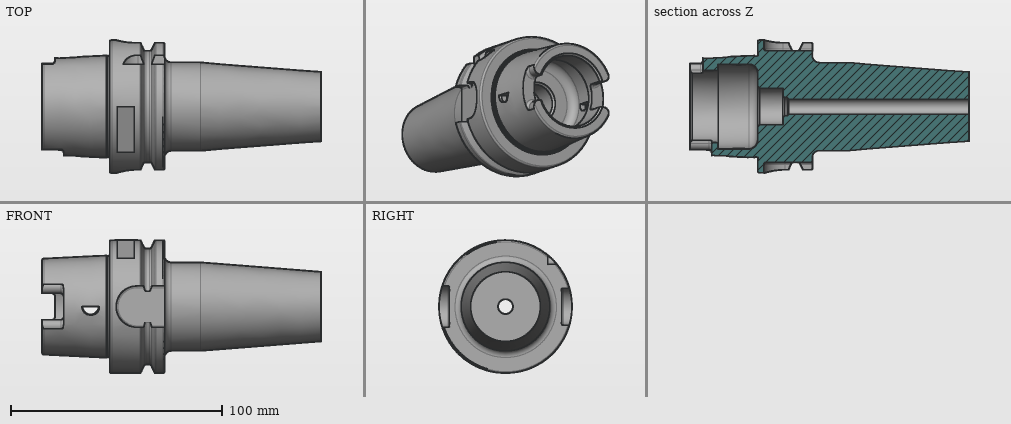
import math

import cadquery as cq

SHANK_LENGTH = 32.0
NOSE_END_X = 100.0
FLANGE_LENGTH = 26.0

SHANK_GAUGE_DIA = 48.24
SHANK_GAUGE_X = -4.0
SHANK_TAPER = 1 / 9.98
SHANK_TIP_FILLET = 0.9

UNDERCUT_START_X = -1.6
UNDERCUT_NECK_RADIUS = 23.95
UNDERCUT_FACE_DEPTH = 0.2
UNDERCUT_FILLET = 1.0
UNDERCUT_OUTER_RADIUS = 25.4

FLANGE_DIA = 63.0
FLANGE_FRONT_FILLET = 0.9
FLANGE_BACK_FILLET = 0.8
GROOVE_FLOOR_DIA = 55.0
GROOVE_CENTRE_X = 18.0
GROOVE_FLOOR_WIDTH = 2.9
GROOVE_ANGLE = 52.0
GROOVE_FLOOR_FILLET = 1.0
GROOVE_RIM_FILLET = 0.5

NOSE_DIA = 42.0
NOSE_TIP_DIA = 33.0
NOSE_TAPER_ANGLE = 4.5
NOSE_ROOT_FILLET = 3.0

MOUTH_DIA = 34.0
MOUTH_CHAMFER = 1.0
MOUTH_LENGTH = 13.3
CHAMBER_DIA = 40.0
CHAMBER_FLOOR_X = 0.0
CHAMBER_FLOOR_FILLET = 4.2

TUBE_BORE_DIA = 17.0
TUBE_RIM_DIA = 19.05
TUBE_BORE_LENGTH = 12.0
PASSAGE_RIM_DIA = 10.0
PASSAGE_STEP_DIA = 8.4
PASSAGE_STEP_LENGTH = 2.0
PASSAGE_DIA = 6.92

KEYWAY_WIDTH = 12.4
KEYWAY_DEPTH_FRONT = 10.2
KEYWAY_DEPTH_BACK = 6.1
KEYWAY_LIP_RADIUS = 3.0
KEYWAY_CORNER_RADIUS = 1.3

SIDE_HOLE_X = -9.0
SIDE_HOLE_OUTER_DIA = 8.4
SIDE_HOLE_INNER_DIA = 7.5
SIDE_HOLE_RIM_DEPTH = 1.0

DRIVE_SLOT_FLOOR = 26.5
DRIVE_SLOT_WIDTH_FRONT = 18.0
DRIVE_SLOT_WIDTH_BACK = 16.0
DRIVE_SLOT_FILLET = 0.75
DRIVE_SLOT_START_X = 3.1

NOTCH_CORNER = 20.0
NOTCH_WIDTH = 15.0
NOTCH_ARC_CENTRE_X = 13.2

FLAT_START_X = 3.5
FLAT_LENGTH = 8.1
FLAT_HALF_ANGLE = 21.6

SHANK_TIP_X = -SHANK_LENGTH
FLANGE_RADIUS = FLANGE_DIA / 2
SHANK_TIP_RADIUS = SHANK_GAUGE_DIA / 2 - SHANK_TAPER / 2 * (SHANK_GAUGE_X - SHANK_TIP_X)
SHANK_END_RADIUS = SHANK_TIP_RADIUS + SHANK_TAPER / 2 * SHANK_LENGTH

CLEARANCE = 5.0


def revolve_about_x(outline):
    """Turn a closed outline about X, keeping the seam at -Z, clear of the milled features."""
    return outline.close().revolve(360, (0, 0, 0), (1, 0, 0)).rotate((0, 0, 0), (1, 0, 0), -90)


def shank():
    outline = (
        cq.Workplane("XY")
        .moveTo(SHANK_TIP_X, 0)
        .lineTo(SHANK_TIP_X, SHANK_TIP_RADIUS)
        .lineTo(0, SHANK_END_RADIUS)
        .lineTo(0, 0)
    )
    return revolve_about_x(outline).faces("<X").edges().fillet(SHANK_TIP_FILLET)


def flange():
    disc = cq.Workplane("YZ").circle(FLANGE_RADIUS).extrude(FLANGE_LENGTH)
    disc = disc.faces("<X").edges().fillet(FLANGE_FRONT_FILLET)
    disc = disc.faces(">X").edges().fillet(FLANGE_BACK_FILLET)

    floor_radius = GROOVE_FLOOR_DIA / 2
    half_floor = GROOVE_FLOOR_WIDTH / 2
    half_rim = half_floor + (FLANGE_RADIUS - floor_radius) * math.tan(math.radians(GROOVE_ANGLE / 2))
    outline = (
        cq.Workplane("XY")
        .moveTo(GROOVE_CENTRE_X - half_floor, floor_radius)
        .lineTo(GROOVE_CENTRE_X + half_floor, floor_radius)
        .lineTo(GROOVE_CENTRE_X + half_rim, FLANGE_RADIUS)
        .lineTo(GROOVE_CENTRE_X - half_rim, FLANGE_RADIUS)
    )
    groove = revolve_about_x(outline)
    groove = groove.edges(cq.selectors.RadiusNthSelector(0)).fillet(GROOVE_FLOOR_FILLET)
    disc = disc.cut(groove)
    rim_edges = cq.selectors.BoxSelector(
        (GROOVE_CENTRE_X - half_rim - GROOVE_RIM_FILLET, -FLANGE_DIA, -FLANGE_DIA),
        (GROOVE_CENTRE_X + half_rim + GROOVE_RIM_FILLET, FLANGE_DIA, FLANGE_DIA),
    )
    rims = disc.edges(rim_edges).edges("%CIRCLE").edges(cq.selectors.RadiusNthSelector(-1))
    return rims.fillet(GROOVE_RIM_FILLET)


def undercut():
    fillet_start_x = UNDERCUT_FACE_DEPTH - UNDERCUT_FILLET
    fillet_end_radius = UNDERCUT_NECK_RADIUS + UNDERCUT_FILLET
    mid_offset = UNDERCUT_FILLET * (1 - math.sqrt(0.5))
    outline = (
        cq.Workplane("XY")
        .moveTo(UNDERCUT_START_X, SHANK_END_RADIUS + UNDERCUT_START_X * SHANK_TAPER / 2)
        .lineTo(fillet_start_x, UNDERCUT_NECK_RADIUS)
        .threePointArc(
            (UNDERCUT_FACE_DEPTH - mid_offset, UNDERCUT_NECK_RADIUS + mid_offset),
            (UNDERCUT_FACE_DEPTH, fillet_end_radius),
        )
        .lineTo(0, UNDERCUT_OUTER_RADIUS)
        .lineTo(UNDERCUT_START_X, UNDERCUT_OUTER_RADIUS)
    )
    return revolve_about_x(outline)


def nose():
    radius = NOSE_DIA / 2
    tip_radius = NOSE_TIP_DIA / 2
    taper_start_x = NOSE_END_X - (radius - tip_radius) / math.tan(math.radians(NOSE_TAPER_ANGLE))
    outline = (
        cq.Workplane("XY")
        .moveTo(0, 0)
        .lineTo(0, radius)
        .lineTo(taper_start_x, radius)
        .lineTo(NOSE_END_X, tip_radius)
        .lineTo(NOSE_END_X, 0)
    )
    return revolve_about_x(outline)


def nose_root_fillet():
    """Ring that blends the nose into the back face of the flange."""
    radius = NOSE_DIA / 2
    mid_offset = NOSE_ROOT_FILLET * (1 - math.sqrt(0.5))
    outline = (
        cq.Workplane("XY")
        .moveTo(FLANGE_LENGTH, radius + NOSE_ROOT_FILLET)
        .threePointArc(
            (FLANGE_LENGTH + mid_offset, radius + mid_offset),
            (FLANGE_LENGTH + NOSE_ROOT_FILLET, radius),
        )
        .lineTo(FLANGE_LENGTH, radius)
    )
    return revolve_about_x(outline)


def hollow():
    mouth_radius = MOUTH_DIA / 2
    mouth_end_x = SHANK_TIP_X + MOUTH_LENGTH
    mouth = (
        cq.Workplane("XY")
        .moveTo(SHANK_TIP_X, 0)
        .lineTo(SHANK_TIP_X, mouth_radius + MOUTH_CHAMFER)
        .lineTo(SHANK_TIP_X + MOUTH_CHAMFER, mouth_radius)
        .lineTo(mouth_end_x, mouth_radius)
        .lineTo(mouth_end_x, 0)
    )
    chamber = (
        cq.Workplane("YZ", origin=(mouth_end_x, 0, 0))
        .circle(CHAMBER_DIA / 2)
        .extrude(CHAMBER_FLOOR_X - mouth_end_x)
        .faces(">X")
        .edges()
        .fillet(CHAMBER_FLOOR_FILLET)
    )
    return revolve_about_x(mouth).union(chamber)


def passage():
    tube_rim = TUBE_RIM_DIA / 2
    tube = TUBE_BORE_DIA / 2
    rim = PASSAGE_RIM_DIA / 2
    step = PASSAGE_STEP_DIA / 2
    through = PASSAGE_DIA / 2
    tube_end_x = CHAMBER_FLOOR_X + TUBE_BORE_LENGTH
    step_end_x = tube_end_x + PASSAGE_STEP_LENGTH
    outline = (
        cq.Workplane("XY")
        .moveTo(CHAMBER_FLOOR_X, 0)
        .lineTo(CHAMBER_FLOOR_X, tube_rim)
        .lineTo(CHAMBER_FLOOR_X + tube_rim - tube, tube)
        .lineTo(tube_end_x, tube)
        .lineTo(tube_end_x, rim)
        .lineTo(tube_end_x + rim - step, step)
        .lineTo(step_end_x, step)
        .lineTo(step_end_x + step - through, through)
        .lineTo(NOSE_END_X, through)
        .lineTo(NOSE_END_X, 0)
    )
    return revolve_about_x(outline)


def keyway(side, depth):
    """Tip keyway on the given Y side whose walls round off into the shank surface."""
    half = KEYWAY_WIDTH / 2
    lip_centre_z = half + KEYWAY_LIP_RADIUS
    lip_centre_y = math.sqrt((SHANK_TIP_RADIUS - KEYWAY_LIP_RADIUS) ** 2 - lip_centre_z**2)
    lip_angle = math.atan2(lip_centre_z, lip_centre_y)

    def lip_point(angle):
        y = lip_centre_y + KEYWAY_LIP_RADIUS * math.cos(angle)
        z = lip_centre_z + KEYWAY_LIP_RADIUS * math.sin(angle)
        return y, z

    wall_angle = -math.pi / 2
    mid_y, mid_z = lip_point((wall_angle + lip_angle) / 2)
    end_y, end_z = lip_point(lip_angle)
    outer_y = SHANK_END_RADIUS + CLEARANCE
    cutter = (
        cq.Workplane("YZ", origin=(SHANK_TIP_X, 0, 0))
        .moveTo(0, -half)
        .lineTo(side * lip_centre_y, -half)
        .threePointArc((side * mid_y, -mid_z), (side * end_y, -end_z))
        .lineTo(side * outer_y, -end_z)
        .lineTo(side * outer_y, end_z)
        .lineTo(side * end_y, end_z)
        .threePointArc((side * mid_y, mid_z), (side * lip_centre_y, half))
        .lineTo(0, half)
        .close()
        .extrude(depth)
    )
    end_edges = cutter.faces(">X").edges("not |Z")
    return end_edges.fillet(KEYWAY_CORNER_RADIUS)


def side_openings():
    """Half-round openings below the XY mid-plane, countersunk at the outside, through both walls."""
    outer = SIDE_HOLE_OUTER_DIA / 2
    inner = SIDE_HOLE_INNER_DIA / 2
    rim = SHANK_END_RADIUS + SHANK_TAPER / 2 * SIDE_HOLE_X
    outline = (
        cq.Workplane("XY")
        .moveTo(SIDE_HOLE_X, 0)
        .lineTo(SIDE_HOLE_X + inner, 0)
        .lineTo(SIDE_HOLE_X + inner, rim - SIDE_HOLE_RIM_DEPTH)
        .lineTo(SIDE_HOLE_X + outer, rim)
        .lineTo(SIDE_HOLE_X + outer, rim + CLEARANCE)
        .lineTo(SIDE_HOLE_X, rim + CLEARANCE)
        .close()
    )
    hole = outline.revolve(360, (SIDE_HOLE_X, 0, 0), (SIDE_HOLE_X, 1, 0))
    hole = hole.union(hole.mirror("XZ"))
    size = 2 * FLANGE_DIA
    lower_half = cq.Workplane("XY").box(size, size, size, centered=(True, True, False)).mirror("XY")
    return hole.intersect(lower_half)


def round_ended_slot(centre_x, centre_z, half_width, floor_y, depth):
    """Slot along X with a round front end, open at the back of the flange, from floor_y outwards."""
    back_x = FLANGE_LENGTH + CLEARANCE
    return (
        cq.Workplane("XZ", origin=(0, floor_y, 0))
        .moveTo(back_x, centre_z - half_width)
        .lineTo(centre_x, centre_z - half_width)
        .threePointArc((centre_x - half_width, centre_z), (centre_x, centre_z + half_width))
        .lineTo(back_x, centre_z + half_width)
        .close()
        .extrude(-depth)
    )


def drive_slot(floor_width):
    half_width = floor_width / 2 + DRIVE_SLOT_FILLET
    centre_x = DRIVE_SLOT_START_X + half_width
    depth = FLANGE_RADIUS + CLEARANCE - DRIVE_SLOT_FLOOR
    slot = round_ended_slot(centre_x, 0, half_width, DRIVE_SLOT_FLOOR, depth)
    return slot.faces("<Y").edges("not >X").fillet(DRIVE_SLOT_FILLET)


def notch():
    half_width = NOTCH_WIDTH / 2
    centre_z = NOTCH_CORNER + half_width
    return round_ended_slot(NOTCH_ARC_CENTRE_X, centre_z, half_width, NOTCH_CORNER, FLANGE_RADIUS)


def rim_flat():
    floor_z = FLANGE_RADIUS * math.cos(math.radians(FLAT_HALF_ANGLE))
    block = cq.Workplane("XY").box(FLAT_LENGTH, FLANGE_DIA, CLEARANCE, centered=(False, True, False))
    block = block.translate((FLAT_START_X, 0, floor_z))
    return block.rotate((0, 0, 0), (1, 0, 0), FLAT_HALF_ANGLE)


result = shank().union(flange()).union(nose())
result = result.union(nose_root_fillet()).cut(undercut())
result = result.cut(hollow()).cut(passage())
result = result.cut(keyway(-1, KEYWAY_DEPTH_FRONT)).cut(keyway(1, KEYWAY_DEPTH_BACK))
result = result.cut(side_openings())
result = result.cut(drive_slot(DRIVE_SLOT_WIDTH_FRONT).mirror("XZ")).cut(drive_slot(DRIVE_SLOT_WIDTH_BACK))
result = result.cut(notch()).cut(rim_flat())